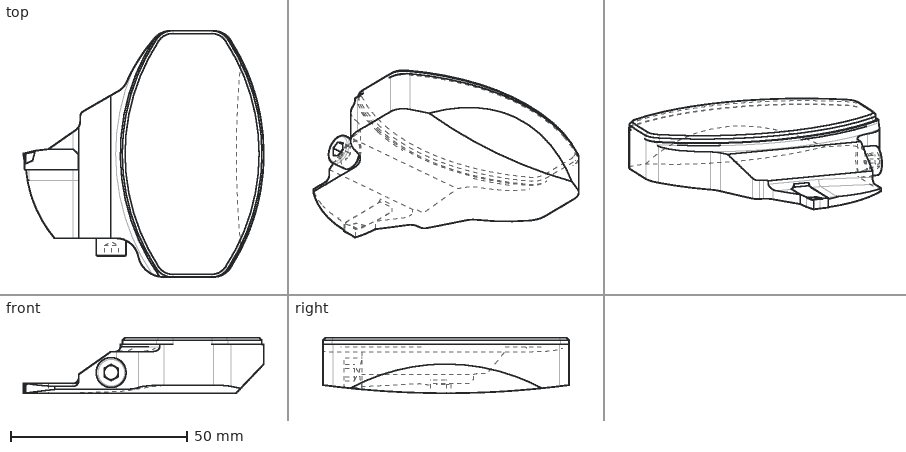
import cadquery as cq
import math

total_height = 15.83
half_length = 35.0
cap_bottom = 13.9
cap_chamfer = 0.8
shelf_height = 11.85
side_radius = 60.0
side_reach = 20.39
cap_inset = 0.55
cap_corner_radius = 5.5
head_corner_radius = 6.0
lower_left_radius = 50.0
lower_left_reach = 23.0
groove_fillet = 1.4
cutter_reach = 200.0

underside_radius = 265.0
under_chamfer_run = 7.9
under_chamfer_height = 8.3

wing_side = -31.83
wing_left = -32.2
wing_front = -24.0
wing_back = 11.6
wing_back_angle = 30.0
wing_corner_radius = 2.0
wing_head_corner = (-19.3, 18.8)
wing_head_fillet = 5.0
slope_top = -23.07
slope_angle = 35.2
lobe_radius = 7.5
lobe_x = -8.0
lobe_y = lobe_radius - half_length
lobe_blend_start = -21.5

blade_height = 2.8
blade_front_height = 1.95
blade_slope_start = -7.5
blade_fillet = 1.7
blade_tip = (-47.2, -4.5)
blade_arc_middle = (-45.2, -13.4)
blade_front_corner = (-39.05, wing_front)
blade_nose_radius = 1.0
blade_nose_start = -46.4
blade_back_start = (-40.8, 1.4)
blade_back_angle = 35.0
blade_back_fillet = 3.0

insert_height = 2.88
insert_inner_end = wing_left - 0.15
insert_back = 1.4
insert_front = -4.5
insert_end_chamfer = (1.5, 1.4)
insert_clearance = 1.0
tip_corner = (-48.0, 0.1)
tip_heel = (-47.65, -1.9)
tip_front = (-47.6, insert_front)
tip_back_bend = (-44.5, 0.95)
chip_pocket = [(-47.4, 1.5), (-44.4, 1.5), (-45.3, -1.9), (-47.3, -2.8)]
chip_pocket_depth = 0.25
chip_floor_end = -45.4
chip_wall_top = -44.4

screw_diameter = 8.5
screw_x = -23.0
screw_z = 5.9
screw_length = 5.0
screw_fillet = 0.45
socket_size = 4.0
socket_depth = 3.0
socket_cone_angle = 120.0


def round_upright_edge(solid, x, y, radius):
    """Fillet the vertical edge nearest to (x, y)."""
    nearest = cq.selectors.NearestToPointSelector((x, y, cap_bottom / 2))
    return solid.edges("|Z").edges(nearest).fillet(radius)


def oval(left, right, corner_radius):
    """Oval outline; each side is (reach, radius), with arcs centred on the X axis."""
    def side_corner(side):
        reach, radius = side
        centre = radius - reach
        corner_y = half_length - corner_radius
        span = radius - corner_radius
        corner_x = math.sqrt(span ** 2 - corner_y ** 2) - centre
        angle = math.asin(corner_y / span)
        mid_angle = (angle + math.pi / 2) / 2

        def on_corner(turn):
            return (corner_x + corner_radius * math.cos(turn), corner_y + corner_radius * math.sin(turn))
        return corner_x, on_corner(mid_angle), on_corner(angle)

    flat_right, mid_right, end_right = side_corner(right)
    flat_left, mid_left, end_left = side_corner(left)
    return (
        cq.Workplane("XY")
        .moveTo(-flat_left, half_length)
        .lineTo(flat_right, half_length)
        .threePointArc(mid_right, end_right)
        .threePointArc((right[0], 0), (end_right[0], -end_right[1]))
        .threePointArc((mid_right[0], -mid_right[1]), (flat_right, -half_length))
        .lineTo(-flat_left, -half_length)
        .threePointArc((-mid_left[0], -mid_left[1]), (-end_left[0], -end_left[1]))
        .threePointArc((-left[0], 0), (-end_left[0], end_left[1]))
        .threePointArc((-mid_left[0], mid_left[1]), (-flat_left, half_length))
        .close()
    )


def make_cap():
    side = (side_reach - cap_inset, side_radius - cap_inset)
    cap = oval(side, side, cap_corner_radius).extrude(total_height - cap_bottom)
    return cap.faces(">Z").chamfer(cap_chamfer).translate((0, 0, cap_bottom))


def make_lower_head():
    left = (lower_left_reach, lower_left_radius)
    return oval(left, (side_reach, side_radius), head_corner_radius).extrude(cap_bottom)


def make_wing():
    """Wing with the lobe at its front, as tall as the wall of the head."""
    rise = wing_front - lobe_y
    run = lobe_x - lobe_blend_start
    blend_radius = (run ** 2 + rise ** 2 - lobe_radius ** 2) / (2 * (rise + lobe_radius))
    blend_y = wing_front - blend_radius
    lobe_angle = math.atan2(lobe_y - blend_y, run)
    middle_angle = (lobe_angle + math.pi / 2) / 2

    def on_blend(angle):
        return (lobe_blend_start + blend_radius * math.cos(angle), blend_y + blend_radius * math.sin(angle))

    def on_lobe(angle):
        return (lobe_x + lobe_radius * math.cos(angle), lobe_y + lobe_radius * math.sin(angle))

    lobe_end = lobe_angle + math.pi
    lobe_bottom = 1.5 * math.pi
    back_end = (lobe_x, wing_back + (lobe_x - wing_side) * math.tan(math.radians(wing_back_angle)))
    wing = (
        cq.Workplane("XY")
        .moveTo(0, -half_length)
        .lineTo(lobe_x, -half_length)
        .threePointArc(on_lobe((lobe_end + lobe_bottom) / 2), on_lobe(lobe_end))
        .threePointArc(on_blend(middle_angle), (lobe_blend_start, wing_front))
        .lineTo(wing_side, wing_front)
        .lineTo(wing_side, wing_back)
        .lineTo(*back_end)
        .close()
        .extrude(cap_bottom)
    )
    return round_upright_edge(wing, wing_side, wing_back, wing_corner_radius)


def make_slope_cut():
    """Space above the sloped face of the wing."""
    slope_run = slope_top - wing_left
    slope_drop = slope_run * math.tan(math.radians(slope_angle))
    return (
        cq.Workplane("XZ")
        .moveTo(slope_top, cap_bottom)
        .lineTo(slope_top, shelf_height)
        .lineTo(slope_top - slope_run, shelf_height - slope_drop)
        .lineTo(slope_top - slope_run, cap_bottom)
        .close()
        .extrude(half_length, both=True)
    )


def make_groove_cut():
    """Ring-shaped cutter that leaves the upper left wall with a fillet at its foot."""
    outside = side_radius - side_reach - wing_left + 2 * groove_fillet
    foot = groove_fillet * (1 - math.sqrt(0.5))
    left_side = cq.Workplane("XY").box(cutter_reach, cutter_reach, cutter_reach)
    left_side = left_side.translate((-cutter_reach / 2, 0, 0))
    return (
        cq.Workplane("XZ")
        .moveTo(side_radius, cap_bottom)
        .lineTo(side_radius, shelf_height + groove_fillet)
        .threePointArc((side_radius + foot, shelf_height + foot), (side_radius + groove_fillet, shelf_height))
        .lineTo(outside, shelf_height)
        .lineTo(outside, cap_bottom)
        .close()
        .revolve(360, (0, 0, 0), (0, 1, 0))
        .translate((side_radius - side_reach, 0, 0))
        .intersect(left_side)
    )


def blade_back_y(x):
    """Y of the blade's slanted back edge."""
    return blade_back_start[1] + (x - blade_back_start[0]) * math.tan(math.radians(blade_back_angle))


def make_blade_blank():
    """Blade outline at the full height of the wing, trimmed later from above."""
    return (
        cq.Workplane("XY")
        .moveTo(*blade_tip)
        .threePointArc(blade_arc_middle, blade_front_corner)
        .lineTo(wing_side, wing_front)
        .lineTo(wing_side, blade_back_y(wing_side))
        .lineTo(*blade_back_start)
        .lineTo(blade_tip[0], tip_corner[1])
        .close()
        .extrude(cap_bottom)
    )


def make_space_above_blade():
    return (
        cq.Workplane("YZ")
        .moveTo(wing_back, blade_height)
        .lineTo(blade_slope_start, blade_height)
        .lineTo(wing_front, blade_front_height)
        .lineTo(wing_front, cap_bottom)
        .lineTo(wing_back, cap_bottom)
        .close()
        .extrude(tip_corner[0] - wing_left)
        .translate((wing_left, 0, 0))
    )


def make_nose_cut():
    """Space outside the rounded top edge of the blade, beside the insert."""
    radius = blade_nose_radius
    centre_z = blade_height - radius
    middle = radius * math.sqrt(0.5)
    return (
        cq.Workplane("XZ")
        .moveTo(blade_nose_start, blade_height)
        .threePointArc((blade_nose_start - middle, centre_z + middle), (blade_nose_start - radius, centre_z))
        .lineTo(blade_nose_start - radius, blade_height)
        .close()
        .extrude(insert_front - blade_slope_start)
        .translate((0, insert_front, 0))
    )


def insert_outline():
    chamfer_x, chamfer_y = insert_end_chamfer
    return (
        cq.Workplane("XY")
        .polyline([
            tip_corner, tip_heel, tip_front,
            (insert_inner_end, insert_front),
            (insert_inner_end, insert_back - chamfer_y),
            (insert_inner_end - chamfer_x, insert_back),
            (blade_back_start[0], insert_back), tip_back_bend,
        ])
        .close()
    )


def make_insert():
    """Bar with a shallow chip pocket at its tip; it is one piece with the body."""
    floor = insert_height - chip_pocket_depth
    outline = cq.Workplane("XY").polyline(chip_pocket).close().extrude(total_height)
    leaning = (
        cq.Workplane("XZ")
        .moveTo(tip_corner[0], insert_height)
        .lineTo(tip_corner[0], floor)
        .lineTo(chip_floor_end, floor)
        .lineTo(chip_wall_top, insert_height)
        .close()
        .extrude(half_length, both=True)
    )
    return insert_outline().extrude(insert_height).cut(outline.intersect(leaning))


def make_insert_clearance():
    return insert_outline().extrude(insert_clearance).translate((0, 0, insert_height))


def make_barrel():
    """Large cylinder that gives the underside its curve."""
    return (
        cq.Workplane("YZ")
        .center(0, underside_radius)
        .circle(underside_radius)
        .extrude(cutter_reach, both=True)
    )


def make_under_chamfer():
    return (
        cq.Workplane("XZ")
        .moveTo(side_reach, under_chamfer_height)
        .lineTo(side_reach, 0)
        .lineTo(side_reach - under_chamfer_run, 0)
        .close()
        .extrude(half_length, both=True)
    )


def make_screw_blank():
    """Screw head without its socket; it also cuts the seat in the body."""
    blank = cq.Workplane("XZ").circle(screw_diameter / 2).extrude(screw_length)
    return blank.faces("<Y").edges().fillet(screw_fillet)


def make_screw():
    """Round head with a hexagonal socket that ends in a cone."""
    corner_diameter = socket_size / math.cos(math.pi / 6)
    socket = cq.Workplane("XZ").transformed(rotate=(0, 0, 90))
    socket = socket.polygon(6, corner_diameter).extrude(socket_depth)
    cone_depth = socket_size / 2 / math.tan(math.radians(socket_cone_angle / 2))
    cone = cq.Solid.makeCone(socket_size / 2, 0, cone_depth, dir=cq.Vector(0, 1, 0))
    socket = socket.union(cq.Workplane(cone)).translate((0, socket_depth - screw_length, 0))
    return make_screw_blank().cut(socket).translate((screw_x, wing_front, screw_z))


def make_body():
    screw_seat = make_screw_blank().translate((screw_x, wing_front, screw_z))
    body = make_lower_head().union(make_wing())
    body = round_upright_edge(body, *wing_head_corner, wing_head_fillet)

    body = body.union(make_blade_blank())
    body = round_upright_edge(body, wing_side, blade_back_y(wing_side), blade_back_fillet)
    body = body.cut(make_slope_cut()).cut(make_groove_cut()).cut(make_space_above_blade())

    edge_margin = 0.1
    blade_foot = cq.selectors.BoxSelector(
        (wing_left - edge_margin, wing_front, blade_front_height),
        (wing_left + edge_margin, wing_back, blade_height + edge_margin),
    )
    body = body.edges(blade_foot).fillet(blade_fillet)

    body = body.cut(make_nose_cut())
    body = body.cut(make_insert_clearance()).union(make_insert())
    body = body.intersect(make_barrel()).cut(make_under_chamfer())
    return body.union(make_cap()).cut(screw_seat)


screw = make_screw()
body = make_body()
result = cq.Compound.makeCompound([body.val(), screw.val()])